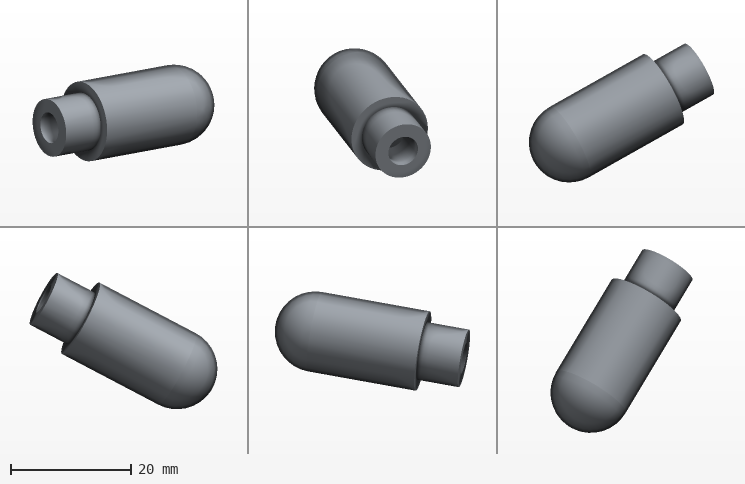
import cadquery as cq

total_length = 32.0
body_diameter = 13.4
spigot_diameter = 9.73
spigot_length = 7.0
bore_diameter = 5.2
bore_depth = spigot_length

body_radius = body_diameter / 2
dome_start = total_length - body_radius


def cylinder_along_y(diameter, start, end):
    """Solid cylinder on the Y axis between two Y positions."""
    return (
        cq.Workplane("XZ", origin=(0, start, 0))
        .circle(diameter / 2)
        .extrude(start - end)
    )


spigot = cylinder_along_y(spigot_diameter, 0, spigot_length)
body = cylinder_along_y(body_diameter, spigot_length, dome_start)

arc_offset = body_radius * 0.5 ** 0.5
dome = (
    cq.Workplane("XY")
    .moveTo(0, dome_start)
    .lineTo(body_radius, dome_start)
    .threePointArc((arc_offset, dome_start + arc_offset), (0, total_length))
    .close()
    .revolve(360, (0, 0, 0), (0, 1, 0))
)

bore = cylinder_along_y(bore_diameter, 0, bore_depth)

result = spigot.union(body).union(dome).cut(bore)